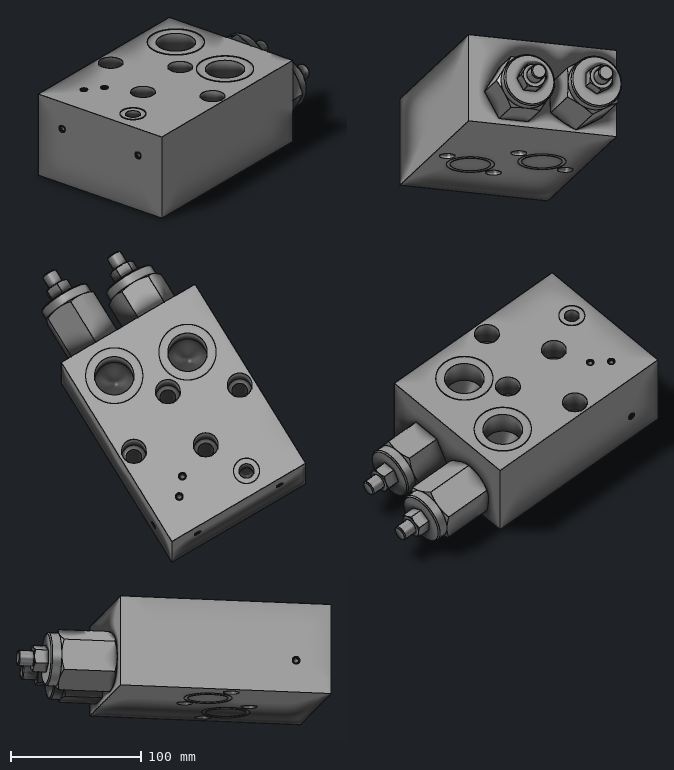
import cadquery as cq
import math

BLOCK_WIDTH = 120.0
BLOCK_LENGTH = 165.0
BLOCK_HEIGHT = 70.0

DRILL_POINT_ANGLE = 118.0

PORT_BORE = 30.29
PORT_SPOTFACE = 44.0
PORT_DEPTH = 20.3
PORT_CENTRES = [(-30.5, 135.0), (27.3, 121.9)]
GAUGE_BORE = 11.45
GAUGE_SPOTFACE = 20.0
GAUGE_DEPTH = 15.0
GAUGE_CENTRE = (17.9, 18.3)
SPOTFACE_DEPTH = 0.5

PATTERN_CENTRE = (0.0, 77.5)
BOLT_OFFSETS = [(48.3, 1.45), (1.65, -25.5)]
BOLT_HOLE = 12.0
BOLT_COUNTERBORE = 19.0
BOLT_COUNTERBORE_DEPTH = 20.0

ORING_OUTER = 37.6
ORING_SECTION = 3.53
ORING_STANDOUT = 0.78

PLUG_OUTER = 6.0
PLUG_SEAT = 4.9
PLUG_SEAT_DEPTH = 1.0
PLUG_BORE = 4.0
PLUG_BORE_DEPTH = 0.5
SIDE_PLUG_X = 36.8
SIDE_PLUG_Y = 27.5
REAR_PLUG_Z = 47.0
LEFT_PLUG_Z = 25.0
TOP_PLUG_CENTRES = [(-26.5, 40.0), (-SIDE_PLUG_X, SIDE_PLUG_Y)]

CARTRIDGE_HEX = 41.0
COLLAR_DIAMETER = 41.0
COLLAR_CHAMFER = 1.0
COLLAR_LENGTH = 8.2
LOCKNUT_HEX = 18.0
LOCKNUT_LENGTH = 10.8
STUD_DIAMETER = 12.0
STUD_CHAMFER = 0.8
HEX_CHAMFER_ANGLE = 30.0
CARTRIDGE_Z = 25.0
LEFT_X = -26.5
LEFT_BODY_LENGTH = 43.5
LEFT_TOTAL_LENGTH = 74.0
RIGHT_X = 23.5
RIGHT_BODY_LENGTH = 30.5
RIGHT_TOTAL_LENGTH = 61.0


def drill(diameter, depth):
    """Cutter for a blind hole with a conical end: mouth at the origin, running down -Z."""
    radius = diameter / 2
    point = radius / math.tan(math.radians(DRILL_POINT_ANGLE / 2))
    outline = [(0, 0), (radius, 0), (radius, -depth), (0, -depth - point)]
    return cq.Workplane("XZ").polyline(outline).close().revolve(360, (0, 0, 0), (0, 1, 0))


def counterbore(diameter, depth):
    """Cutter for a flat-bottomed recess: mouth at the origin, running down -Z."""
    return cq.Workplane("XY").circle(diameter / 2).extrude(-depth)


def stepped_hole(recess, recess_depth, bore, depth):
    """Cutter for a flat recess with a drilled bore in it; both depths run from the mouth."""
    return counterbore(recess, recess_depth).union(drill(bore, depth))


def plug_recess():
    """Seat with a 45 degree lead-in at its mouth and a narrower blind bore in its floor."""
    lead_in = (PLUG_OUTER - PLUG_SEAT) / 2
    mouth = cq.Workplane("XY").circle(PLUG_OUTER / 2).workplane(offset=-lead_in).circle(PLUG_SEAT / 2).loft()
    return mouth.union(stepped_hole(PLUG_SEAT, PLUG_SEAT_DEPTH, PLUG_BORE, PLUG_SEAT_DEPTH + PLUG_BORE_DEPTH))


def hexagon(across_flats, start, end, chamfer_base, point_up):
    """Hexagonal bar along +Z whose end corners are turned down to the across-flats circle."""
    corner_radius = across_flats / math.sqrt(3)
    flat_radius = across_flats / 2
    drop = (corner_radius - flat_radius) * math.tan(math.radians(HEX_CHAMFER_ANGLE))
    bar = cq.Workplane("XY").workplane(offset=start).polygon(6, 2 * corner_radius).extrude(end - start)
    if point_up:
        bar = bar.rotate((0, 0, 0), (0, 0, 1), 90)
    outline = [(0, end), (flat_radius, end), (corner_radius, end - drop)]
    if chamfer_base:
        outline += [(corner_radius, start + drop), (flat_radius, start)]
    else:
        outline += [(corner_radius, start)]
    outline += [(0, start)]
    turned = cq.Workplane("XZ").polyline(outline).close().revolve(360, (0, 0, 0), (0, 1, 0))
    return bar.intersect(turned)


def cartridge(x, body_length, total_length, chamfer_base, point_up):
    """Hexagonal body, round collar, locknut and adjusting stud, pointing along +Y."""
    collar_end = body_length + COLLAR_LENGTH
    nut_end = collar_end + LOCKNUT_LENGTH
    body = hexagon(CARTRIDGE_HEX, 0, body_length, chamfer_base, point_up)
    collar = (
        cq.Workplane("XY").workplane(offset=body_length).circle(COLLAR_DIAMETER / 2)
        .extrude(COLLAR_LENGTH).faces(">Z").chamfer(COLLAR_CHAMFER)
    )
    nut = hexagon(LOCKNUT_HEX, collar_end, nut_end, False, point_up)
    stud = (
        cq.Workplane("XY").workplane(offset=nut_end).circle(STUD_DIAMETER / 2)
        .extrude(total_length - nut_end).faces(">Z").chamfer(STUD_CHAMFER)
    )
    valve = body.union(collar).union(nut).union(stud)
    return valve.rotate((0, 0, 0), (1, 0, 0), -90).translate((x, BLOCK_LENGTH, CARTRIDGE_Z))


def bolt_centres():
    """Bolt hole centres: each offset and its mirror through the pattern centre."""
    cx, cy = PATTERN_CENTRE
    return [(cx + side * dx, cy + side * dy) for dx, dy in BOLT_OFFSETS for side in (1, -1)]


def oring(side):
    """O-ring midway between the two bolt holes on one side of the pattern."""
    (x1, y1), (x2, y2) = BOLT_OFFSETS
    cx = PATTERN_CENTRE[0] + side * (x1 + x2) / 2
    cy = PATTERN_CENTRE[1] + side * (y1 + y2) / 2
    tube = ORING_SECTION / 2
    ring = cq.Solid.makeTorus(ORING_OUTER / 2 - tube, tube)
    return cq.Workplane(obj=ring).translate((cx, cy, tube - ORING_STANDOUT))


result = cq.Workplane("XY").box(BLOCK_WIDTH, BLOCK_LENGTH, BLOCK_HEIGHT, centered=(True, False, False))

for x, y in PORT_CENTRES:
    port = stepped_hole(PORT_SPOTFACE, SPOTFACE_DEPTH, PORT_BORE, PORT_DEPTH)
    result = result.cut(port.translate((x, y, BLOCK_HEIGHT)))
gauge_port = stepped_hole(GAUGE_SPOTFACE, SPOTFACE_DEPTH, GAUGE_BORE, GAUGE_DEPTH)
result = result.cut(gauge_port.translate((*GAUGE_CENTRE, BLOCK_HEIGHT)))

result = (
    result.faces(">Z").workplane(origin=(0, 0, BLOCK_HEIGHT)).pushPoints(bolt_centres())
    .cboreHole(BOLT_HOLE, BOLT_COUNTERBORE, BOLT_COUNTERBORE_DEPTH)
)

for x, y in TOP_PLUG_CENTRES:
    result = result.cut(plug_recess().translate((x, y, BLOCK_HEIGHT)))
for x in (-SIDE_PLUG_X, SIDE_PLUG_X):
    rear_plug = plug_recess().rotate((0, 0, 0), (1, 0, 0), 90)
    result = result.cut(rear_plug.translate((x, 0, REAR_PLUG_Z)))
left_plug = plug_recess().rotate((0, 0, 0), (0, 1, 0), -90)
result = result.cut(left_plug.translate((-BLOCK_WIDTH / 2, SIDE_PLUG_Y, LEFT_PLUG_Z)))

for side in (1, -1):
    result = result.union(oring(side))

result = result.union(cartridge(LEFT_X, LEFT_BODY_LENGTH, LEFT_TOTAL_LENGTH, True, True))
result = result.union(cartridge(RIGHT_X, RIGHT_BODY_LENGTH, RIGHT_TOTAL_LENGTH, False, False))